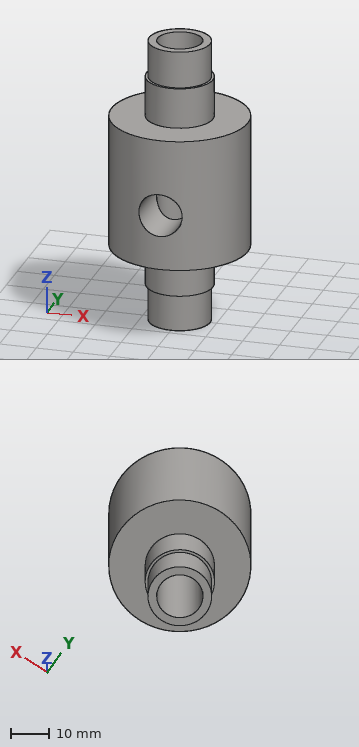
import cadquery as cq

total_height = 78.0
body_diameter = 37.0
collar_diameter = 18.0
end_diameter = 16.5
bore_diameter = 12.0

end_length = 10.0
collar_length = 11.0
body_height = total_height - 2 * (end_length + collar_length)

port_diameter = 11.7
port_drop = 3.0


def centred_cylinder(diameter, height):
    """Vertical cylinder centred on the origin."""
    return cq.Workplane("XY").circle(diameter / 2).extrude(height / 2, both=True)


def side_port():
    """Cylinder from the main axis out through the -Y side of the body."""
    return (
        cq.Workplane("XZ")
        .center(0, -port_drop)
        .circle(port_diameter / 2)
        .extrude(body_diameter)
    )


body = centred_cylinder(body_diameter, body_height)
collars = centred_cylinder(collar_diameter, body_height + 2 * collar_length)
ends = centred_cylinder(end_diameter, total_height)
outside = body.union(collars).union(ends)

bore = centred_cylinder(bore_diameter, total_height)
result = outside.cut(bore).cut(side_port())